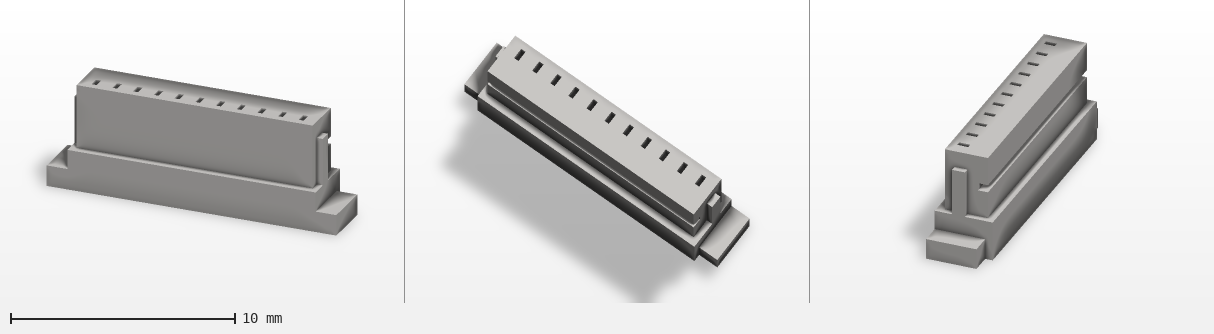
import cadquery as cq

total_length = 14.0
total_depth = 2.8
total_height = 5.0

contact_count = 11
pitch = total_length / 14
slot_width = 0.24
slot_front = 0.71
slot_back = 1.25
slot_depth = 1.4

base_length = total_length - 2 * pitch
base_height = 1.93
wing_height = pitch
wing_depth = 2.44

end_inset = 0.3
housing_length = base_length - 2 * end_inset
housing_front = 0.36
housing_back = 2.45

key_front = 0.84
key_back = 1.45
key_top = 4.2

groove_depth = 0.48
groove_top = 3.61
groove_bottom = 3.25


def centred_block(length, front, back, bottom, top):
    """Block centred on X = 0 between the given Y and Z limits."""
    block = cq.Workplane("XY").box(length, back - front, top - bottom, centered=(True, False, False))
    return block.translate((0, front, bottom))


def contact_slots():
    """Row of blind contact slots opening on the top of the housing."""
    return (
        cq.Workplane("XY", origin=(0, (slot_front + slot_back) / 2, total_height))
        .rarray(pitch, 0.14, contact_count, 1)
        .rect(slot_width, slot_back - slot_front)
        .extrude(-slot_depth)
    )


wings = centred_block(total_length, 0, wing_depth, 0, wing_height)
base = centred_block(base_length, 0, total_depth, 0, base_height)
keys = centred_block(base_length, key_front, key_back, 0, key_top)
housing = centred_block(housing_length, housing_front, housing_back, 0, total_height)
latch_groove = centred_block(
    housing_length, housing_back - groove_depth, housing_back, groove_bottom, groove_top
)

result = base.union(wings).union(keys).union(housing)
result = result.cut(latch_groove).cut(contact_slots())